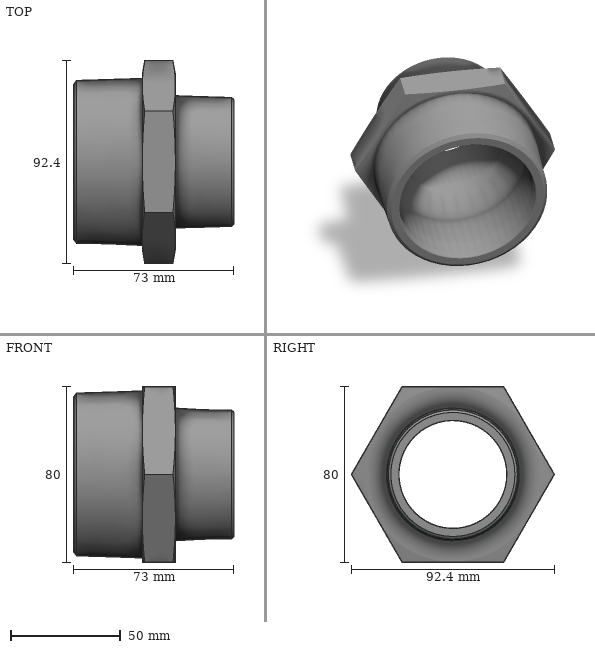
import cadquery as cq


total_length = 73.0
large_end_length = 31.2
hex_width = 15.1
large_collar_length = 4.5
small_collar_length = 3.1

hex_across_corners = 92.4
hex_face_diameter = 79.6
hex_chamfer_depth = 1.1

large_collar_diameter = 75.75
small_collar_diameter = 60.05
collar_root_flare = 0.2
thread_taper = 1 / 16
large_chamfer_length = 1.4
large_chamfer_height = 1.8
small_chamfer = 1.1

large_bore_diameter = 63.0
small_bore_diameter = 49.0
large_bore_depth = 29.2
bore_cone_length = 14.9
bore_edge_break = 0.3

x_left = -total_length / 2
x_right = total_length / 2
x_hex_left = x_left + large_end_length
x_hex_right = x_hex_left + hex_width


def revolve_about_x(points):
    """Revolve a closed (x, radius) outline about the X axis."""
    return cq.Workplane("XY").polyline(points).close().revolve(360, (0, 0, 0), (1, 0, 0))


def male_end(x_root, x_tip, collar_diameter, collar_length, chamfer_length, chamfer_height):
    """Collar, tapered stretch and end chamfer from the hexagon face out to the tip."""
    outward = 1 if x_tip > x_root else -1
    x_collar = x_root + outward * collar_length
    x_chamfer = x_tip - outward * chamfer_length
    collar_radius = collar_diameter / 2
    taper_end_radius = collar_radius - abs(x_chamfer - x_collar) * thread_taper / 2
    return revolve_about_x([
        (x_root, 0),
        (x_root, collar_radius + collar_root_flare),
        (x_collar, collar_radius),
        (x_chamfer, taper_end_radius),
        (x_tip, taper_end_radius - chamfer_height),
        (x_tip, 0),
    ])


def hexagon():
    """Hexagon with corners on +Y and -Y, its corners bevelled on both faces."""
    prism = (
        cq.Workplane("YZ", origin=(x_hex_left, 0, 0))
        .polygon(6, hex_across_corners)
        .extrude(hex_width)
    )
    face_radius = hex_face_diameter / 2
    corner_radius = hex_across_corners / 2
    bevel_envelope = revolve_about_x([
        (x_hex_left, 0),
        (x_hex_left, face_radius),
        (x_hex_left + hex_chamfer_depth, corner_radius),
        (x_hex_right - hex_chamfer_depth, corner_radius),
        (x_hex_right, face_radius),
        (x_hex_right, 0),
    ])
    return prism.intersect(bevel_envelope)


def passage():
    """Large bore with a broken entry edge, a cone, and the small bore to the far end."""
    large_radius = large_bore_diameter / 2
    small_radius = small_bore_diameter / 2
    x_cone_start = x_left + large_bore_depth
    x_cone_end = x_cone_start + bore_cone_length
    return revolve_about_x([
        (x_left, 0),
        (x_left, large_radius + bore_edge_break),
        (x_left + bore_edge_break, large_radius),
        (x_cone_start, large_radius),
        (x_cone_end, small_radius),
        (x_right, small_radius),
        (x_right, 0),
    ])


large_end = male_end(
    x_hex_left, x_left, large_collar_diameter, large_collar_length,
    large_chamfer_length, large_chamfer_height,
)
small_end = male_end(
    x_hex_right, x_right, small_collar_diameter, small_collar_length,
    small_chamfer, small_chamfer,
)

result = hexagon().union(large_end).union(small_end).cut(passage())